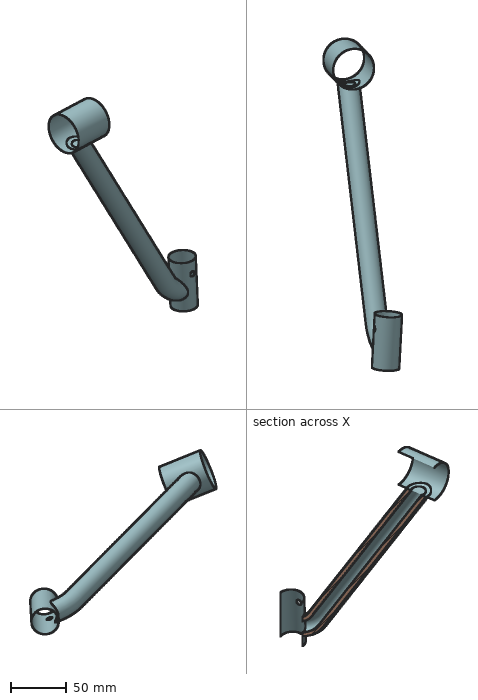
import cadquery as cq
import math

SLEEVE_DIAMETER = 38.0
SLEEVE_LENGTH = 40.2
WALL = 0.14

ARM_DIAMETER = 20.0
BORE_DIAMETER = 12.0
ARM_LENGTH = 225.8
ARM_SLOPE = 30
ELBOW_RADIUS = 35.7
ELBOW_ANGLE = 40
ELBOW_TWIST = 11
STUB_LENGTH = 10.8

SOCKET_DIAMETER = 25.0
SOCKET_LENGTH = 50.0
SOCKET_TILT = 3
SOCKET_CENTRE = (-3.5, 140.0, -225.5)
SIDE_HOLE_DIAMETER = 5.0
SIDE_HOLE_DEPTH = 13.5

SLEEVE_RADIUS = SLEEVE_DIAMETER / 2
slope = math.radians(ARM_SLOPE)
twist = math.radians(ELBOW_TWIST)
arm_direction = cq.Vector(0, math.sin(slope), -math.cos(slope))
bend_direction = cq.Vector(
    -math.sin(twist),
    math.cos(twist) * math.cos(slope),
    math.cos(twist) * math.sin(slope),
)
sleeve_foot = cq.Vector(0, 0, -SLEEVE_RADIUS)
elbow_start = sleeve_foot + arm_direction * ARM_LENGTH
elbow_plane = cq.Plane(elbow_start, bend_direction, arm_direction)


def sleeve_cylinder(diameter):
    """Cylinder along Y, centred on the origin."""
    return cq.Workplane("XZ", origin=(0, SLEEVE_LENGTH / 2, 0)).circle(diameter / 2).extrude(SLEEVE_LENGTH)


def place_on_socket(body):
    """Move a body from the upright socket at the origin to the tilted one."""
    return body.rotate((0, 0, 0), (0, 1, 0), -SOCKET_TILT).translate(SOCKET_CENTRE)


def socket_cylinder(diameter):
    """Cylinder on the tilted socket axis."""
    base = cq.Workplane("XY", origin=(0, 0, -SOCKET_LENGTH / 2))
    return place_on_socket(base.circle(diameter / 2).extrude(SOCKET_LENGTH))


def side_hole():
    """Cutter for the hole through the +X side of the socket wall."""
    height = SOCKET_LENGTH / 2 - SIDE_HOLE_DEPTH
    cutter = cq.Workplane("YZ", origin=(0, 0, height)).circle(SIDE_HOLE_DIAMETER / 2)
    return place_on_socket(cutter.extrude(SOCKET_DIAMETER))


def arm_rod(diameter):
    """Round bar from inside the sleeve, down the arm, around the elbow and into the socket."""
    section = cq.Workplane(elbow_plane).circle(diameter / 2)
    straight = section.extrude(-(ARM_LENGTH + SLEEVE_RADIUS))
    elbow = cq.Workplane(elbow_plane).circle(diameter / 2)
    elbow = elbow.revolve(ELBOW_ANGLE, (ELBOW_RADIUS, 0, 0), (ELBOW_RADIUS, 1, 0))
    bend = math.radians(ELBOW_ANGLE)
    stub_direction = arm_direction * math.cos(bend) + bend_direction * math.sin(bend)
    stub_start = (
        elbow_start
        + arm_direction * (ELBOW_RADIUS * math.sin(bend))
        + bend_direction * (ELBOW_RADIUS * (1 - math.cos(bend)))
    )
    stub_plane = cq.Plane(stub_start, normal=stub_direction)
    stub = cq.Workplane(stub_plane).circle(diameter / 2).extrude(STUB_LENGTH)
    return straight.union(elbow).union(stub)


sleeve_opening = sleeve_cylinder(SLEEVE_DIAMETER - 2 * WALL)
socket_opening = socket_cylinder(SOCKET_DIAMETER - 2 * WALL)
sleeve = sleeve_cylinder(SLEEVE_DIAMETER).cut(sleeve_opening)
socket = socket_cylinder(SOCKET_DIAMETER).cut(socket_opening).cut(side_hole())

arm = arm_rod(ARM_DIAMETER).cut(arm_rod(BORE_DIAMETER))
arm = arm.cut(sleeve_opening).cut(socket_opening)
result = arm.union(sleeve).union(socket)